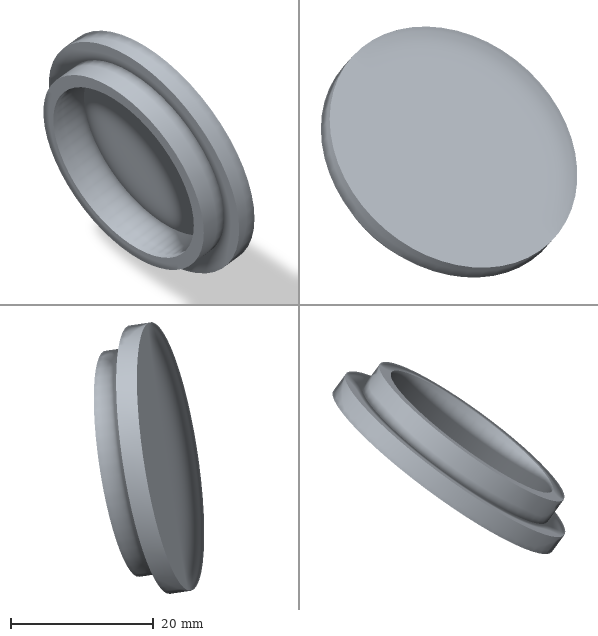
import cadquery as cq

flange_diameter = 38.0
flange_thickness = 3.0
spigot_diameter = 32.0
spigot_length = 4.0
recess_diameter = 28.0
floor_thickness = 1.0
recess_depth = spigot_length + flange_thickness - floor_thickness


def disc(diameter, start_y, length):
    """Solid cylinder running from start_y toward +Y."""
    plane = cq.Workplane("XZ", origin=(0, start_y, 0))
    return plane.circle(diameter / 2).extrude(-length)


spigot = disc(spigot_diameter, 0, spigot_length)
flange = disc(flange_diameter, spigot_length, flange_thickness)
recess = disc(recess_diameter, 0, recess_depth)

result = spigot.union(flange).cut(recess)